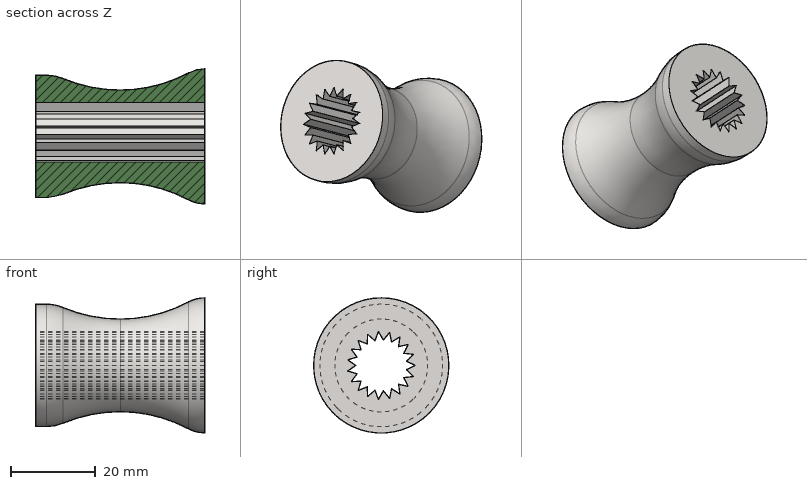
import cadquery as cq
import math

length = 40.0
small_end_radius = 14.5
large_end_radius = 16.0
waist_radius = 10.98
small_round_radius = 10.0
small_side_waist_arc_radius = 35.0
large_round_radius = 8.3
spline_tooth_count = 19
spline_root_radius = 8.0
spline_tip_radius = 6.0

half_length = length / 2


def s_curve_span(arc_radius_sum, rise):
    """Axial length of two tangent arcs that climb by rise between axis-parallel ends."""
    return math.sqrt(2 * arc_radius_sum * rise - rise**2)


def s_curve_sum(span, rise):
    """Sum of the two arc radii that climb by rise over a given axial length."""
    return (span**2 + rise**2) / (2 * rise)


small_rise = small_end_radius - waist_radius
small_arc_sum = small_round_radius + small_side_waist_arc_radius
small_span = s_curve_span(small_arc_sum, small_rise)

large_rise = large_end_radius - waist_radius
large_span = half_length
large_arc_sum = s_curve_sum(large_span, large_rise)
large_side_waist_arc_radius = large_arc_sum - large_round_radius


def blend_point(direction, span, rise, waist_arc_radius, arc_radius_sum):
    """Point where the concave waist arc meets the convex round."""
    share = waist_arc_radius / arc_radius_sum
    return (direction * span * share, waist_radius + rise * share)


def make_body():
    small_blend = blend_point(-1, small_span, small_rise, small_side_waist_arc_radius, small_arc_sum)
    large_blend = blend_point(1, large_span, large_rise, large_side_waist_arc_radius, large_arc_sum)
    profile = (
        cq.Workplane("XZ")
        .moveTo(-half_length, 0)
        .lineTo(-half_length, small_end_radius)
        .lineTo(-small_span, small_end_radius)
        .tangentArcPoint(small_blend, relative=False)
        .tangentArcPoint((0, waist_radius), relative=False)
        .tangentArcPoint(large_blend, relative=False)
        .tangentArcPoint((half_length, large_end_radius), relative=False)
        .lineTo(half_length, 0)
        .close()
    )
    return profile.revolve(360, (0, 0, 0), (1, 0, 0))


def make_splined_bore():
    """Star-shaped through bore with one groove bottom pointing along +Y."""
    half_pitch = math.pi / spline_tooth_count
    points = []
    for step in range(2 * spline_tooth_count):
        radius = spline_root_radius if step % 2 == 0 else spline_tip_radius
        angle = step * half_pitch
        points.append((radius * math.cos(angle), radius * math.sin(angle)))
    return cq.Workplane("YZ", origin=(-half_length, 0, 0)).polyline(points).close().extrude(length)


result = make_body().cut(make_splined_bore())